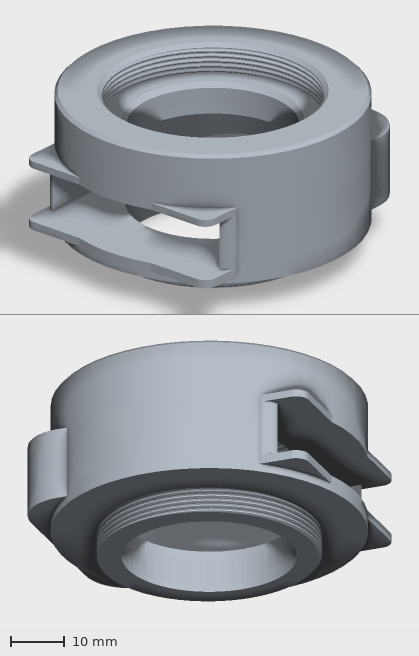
import cadquery as cq

ring_diameter = 59.0
ring_radius = ring_diameter / 2
top_height = 12.1
middle_height = 10.9
flange_height = 3.16
spigot_length = 5.0

lug_half_width = 22.25
back_wall_y = 30.3
back_corner_radius = 9.0
tab_front_y = -28.2
arm_front_y = -22.25
front_corner_radius = 2.5
top_tab_thickness = 1.4
bottom_tab_thickness = 1.65

slot_wall = 2.0
slot_half_width = lug_half_width - slot_wall
slot_back_y = back_wall_y - slot_wall
slot_corner_radius = 9.0

top_bore_diameter = 32.0
bottom_bore_diameter = 32.6
bore_chamfer = 0.95
rim_chamfer = 0.65

thread_pitch = 1.0
socket_depth = 5.9
socket_minor_diameter = 41.44
socket_major_diameter = 42.36
socket_mouth_diameter = 43.0
socket_thread_length = socket_depth - (socket_mouth_diameter - socket_minor_diameter) / 2
socket_crest_z = 0.5
spigot_minor_diameter = 40.74
spigot_major_diameter = 41.88
spigot_crest_z = 0.7
thread_root_width = 0.8 * thread_pitch
thread_crest_width = 0.2 * thread_pitch
thread_overlap = 0.1

middle_z = flange_height
top_z = middle_z + middle_height
rim_z = top_z + top_height
socket_floor_z = rim_z - socket_depth


def cylinder(diameter, z, height):
    return cq.Workplane("XY").workplane(offset=z).circle(diameter / 2).extrude(height)


def chamfer_cone(large_diameter, small_diameter, z_large):
    """Downward 45 degree cone that chamfers the mouth of a hole."""
    depth = (large_diameter - small_diameter) / 2
    cone = cq.Solid.makeCone(large_diameter / 2, small_diameter / 2, depth,
                             cq.Vector(0, 0, z_large), cq.Vector(0, 0, -1))
    return cq.Workplane(obj=cone)


def rounded_block(half_width, front_y, back_y, front_radius, back_radius, z, height):
    """Rectangular block with its own radius on the front and the back corners."""
    block = (
        cq.Workplane("XY").workplane(offset=z)
        .center(0, (front_y + back_y) / 2)
        .rect(2 * half_width, back_y - front_y)
        .extrude(height)
        .edges("|Z and >Y").fillet(back_radius)
    )
    if front_radius > 0:
        block = block.edges("|Z and <Y").fillet(front_radius)
    return block


def lug_block(front_y, z, height):
    return rounded_block(lug_half_width, front_y, back_wall_y,
                         front_corner_radius, back_corner_radius, z, height)


def threaded_rod(minor_diameter, major_diameter, z, length, crest_z):
    """Rod with a right-hand thread whose crest crosses the XZ plane (at +X) at crest_z above z."""
    minor_radius = minor_diameter / 2
    major_radius = major_diameter / 2
    flank_slope = (thread_root_width - thread_crest_width) / 2 / (major_radius - minor_radius)
    base_radius = minor_radius - thread_overlap
    base_half = thread_root_width / 2 + flank_slope * thread_overlap
    crest_half = thread_crest_width / 2

    start_z = z + crest_z - 2 * thread_pitch
    run_length = length + 4 * thread_pitch
    helix = cq.Wire.makeHelix(thread_pitch, run_length, minor_radius, cq.Vector(0, 0, start_z))
    ridge = (
        cq.Workplane("XZ")
        .moveTo(base_radius, start_z - base_half)
        .lineTo(base_radius, start_z + base_half)
        .lineTo(major_radius, start_z + crest_half)
        .lineTo(major_radius, start_z - crest_half)
        .close()
        .sweep(cq.Workplane(obj=helix), isFrenet=True)
    )
    core = cylinder(minor_diameter, start_z - thread_pitch, run_length + 2 * thread_pitch)
    trim = cylinder(ring_diameter, z, length)
    return core.union(ridge, clean=False).intersect(trim, clean=False)


def make_top_ring():
    """Upper ring with a female thread for the lens and tabs over the slot."""
    ring = cylinder(ring_diameter, top_z, top_height).faces(">Z").chamfer(rim_chamfer)
    ring = ring.union(lug_block(tab_front_y, top_z, top_tab_thickness))
    ring = ring.cut(cylinder(top_bore_diameter, top_z, top_height))
    ring = ring.cut(chamfer_cone(top_bore_diameter + 2 * bore_chamfer, top_bore_diameter, socket_floor_z))
    ring = ring.cut(threaded_rod(socket_minor_diameter, socket_major_diameter,
                                 socket_floor_z, socket_thread_length, socket_crest_z), clean=False)
    return ring.cut(chamfer_cone(socket_mouth_diameter, socket_minor_diameter, rim_z), clean=False)


def make_middle_spacer():
    """U-shaped spacer whose slot takes a filter from the front."""
    spacer = cylinder(ring_diameter, middle_z, middle_height)
    spacer = spacer.union(lug_block(arm_front_y, middle_z, middle_height))
    slot = rounded_block(slot_half_width, -ring_radius, slot_back_y,
                         0, slot_corner_radius, middle_z, middle_height)
    return spacer.cut(slot)


def make_bottom_flange():
    """Lower flange with tabs under the slot and a male threaded spigot."""
    flange = cylinder(ring_diameter, 0, flange_height)
    tab_z = flange_height - bottom_tab_thickness
    flange = flange.union(lug_block(tab_front_y, tab_z, bottom_tab_thickness))
    spigot = threaded_rod(spigot_minor_diameter, spigot_major_diameter,
                          -spigot_length, spigot_length, spigot_crest_z)
    flange = flange.union(spigot, clean=False)
    bore = cylinder(bottom_bore_diameter, -spigot_length, spigot_length + flange_height)
    return flange.cut(bore, clean=False)


top_ring = make_top_ring()
middle_spacer = make_middle_spacer()
bottom_flange = make_bottom_flange()

result = cq.Compound.makeCompound([
    top_ring.solids().val(),
    middle_spacer.solids().val(),
    bottom_flange.solids().val(),
])